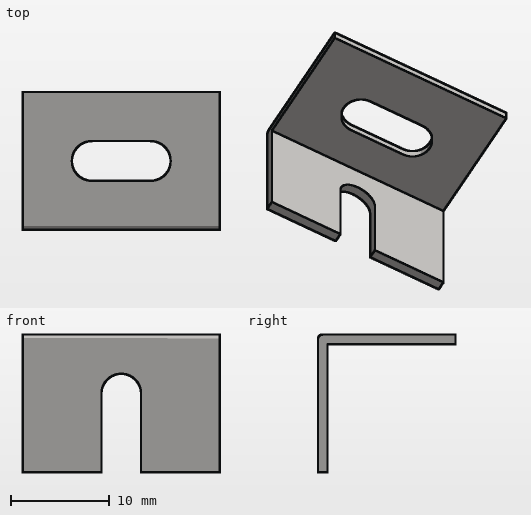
import cadquery as cq

width = 20.0
depth = 14.0
height = 14.0
thickness = 1.0
bend_radius = 0.5

opening_width = 4.0
slot_length = 10.0
notch_depth = 10.0


def make_angle():
    """L-shaped sheet with a rounded outer bend and a sharp inner corner."""
    top_flange = cq.Workplane("XY").box(width, depth, thickness, centered=(True, False, False))
    top_flange = top_flange.translate((0, 0, -thickness))
    front_flange = cq.Workplane("XY").box(width, thickness, height, centered=(True, False, False))
    front_flange = front_flange.translate((0, 0, -height))
    return top_flange.union(front_flange).edges("|X and >Z and <Y").fillet(bend_radius)


def make_slot():
    """Cutter for the slot in the middle of the top flange, long side along X."""
    return (
        cq.Workplane("XY")
        .center(0, depth / 2)
        .slot2D(slot_length, opening_width)
        .extrude(-thickness)
    )


def make_notch():
    """Cutter for the round-ended notch, open at the bottom of the front flange."""
    half_width = opening_width / 2
    notch_top = notch_depth - height
    arc_center = notch_top - half_width
    return (
        cq.Workplane("XZ")
        .moveTo(-half_width, -height)
        .lineTo(-half_width, arc_center)
        .threePointArc((0, notch_top), (half_width, arc_center))
        .lineTo(half_width, -height)
        .close()
        .extrude(-thickness)
    )


result = make_angle().cut(make_slot()).cut(make_notch())